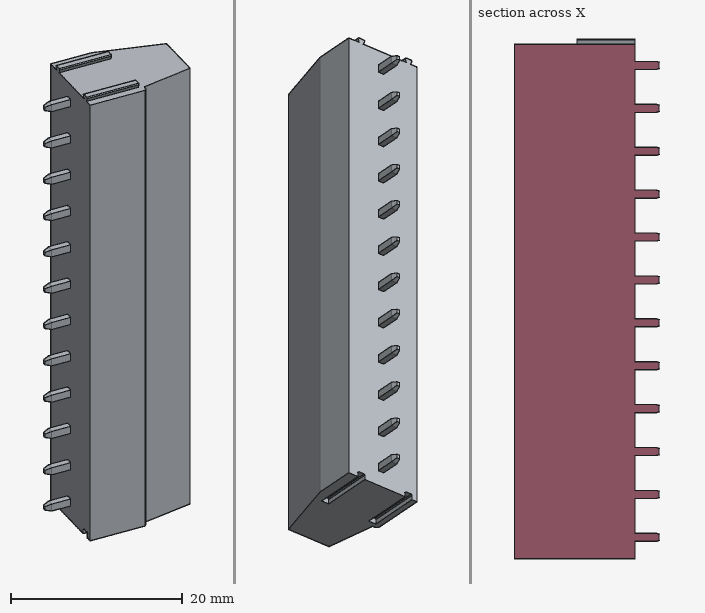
import cadquery as cq

width = 10.2
depth = 14.05
overall_height = 60.6
rail_height = 0.6
housing_height = overall_height - rail_height
left_slope_start = 5.4
back_left = 2.2
back_right = 8.25
shoulder_x = 9.45
shoulder_y = 7.45
shoulder_chamfer = 0.3

pole_count = 12
pitch = housing_height / pole_count
pin_x = 4.8
pin_width = 0.8
pin_thickness = 0.95
pin_length = 3.3
tip_length = 0.8
tip_scale = 0.5

strip_positions = (1.9, 8.9)
rail_neck = 0.65
strip_head = 1.0
edge_chamfer = 0.1
strip_crown = strip_head - 2 * edge_chamfer
strip_length = 6.8
groove_depth = 0.7


def make_housing():
    outline = [
        (0, 0),
        (width, 0),
        (width, shoulder_y - shoulder_chamfer),
        (width - shoulder_chamfer, shoulder_y),
        (shoulder_x, shoulder_y),
        (back_right, depth),
        (back_left, depth),
        (0, left_slope_start),
    ]
    return cq.Workplane("XY").polyline(outline).close().extrude(housing_height)


def make_strip(x, levels):
    """Strip running back from the front face; levels are its (z, width) pairs."""
    left_side = [(x - strip_width / 2, z) for z, strip_width in levels]
    right_side = [(x + strip_width / 2, z) for z, strip_width in reversed(levels)]
    return cq.Workplane("XZ").polyline(left_side + right_side).close().extrude(-strip_length)


def make_rail(x):
    """Dovetail rail with chamfered top edges."""
    levels = [
        (housing_height, rail_neck),
        (overall_height - edge_chamfer, strip_head),
        (overall_height, strip_crown),
    ]
    return make_strip(x, levels)


def make_groove(x):
    """Straight groove with chamfered inner corners."""
    levels = [
        (0, strip_head),
        (groove_depth - edge_chamfer, strip_head),
        (groove_depth, strip_crown),
    ]
    return make_strip(x, levels)


def make_pin(z):
    """Rectangular pin with a tapered tip, pointing towards -Y."""
    shank_length = pin_length - tip_length
    shank = (
        cq.Workplane("XZ", origin=(pin_x, 0, z))
        .rect(pin_width, pin_thickness)
        .extrude(shank_length)
    )
    return (
        shank.faces("<Y")
        .workplane(centerOption="CenterOfMass")
        .rect(pin_width, pin_thickness)
        .workplane(offset=tip_length)
        .rect(pin_width * tip_scale, pin_thickness * tip_scale)
        .loft(combine=True)
    )


result = make_housing()

for strip_x in strip_positions:
    result = result.cut(make_groove(strip_x))
    result = result.union(make_rail(strip_x))

for pole in range(pole_count):
    result = result.union(make_pin((pole + 0.5) * pitch))